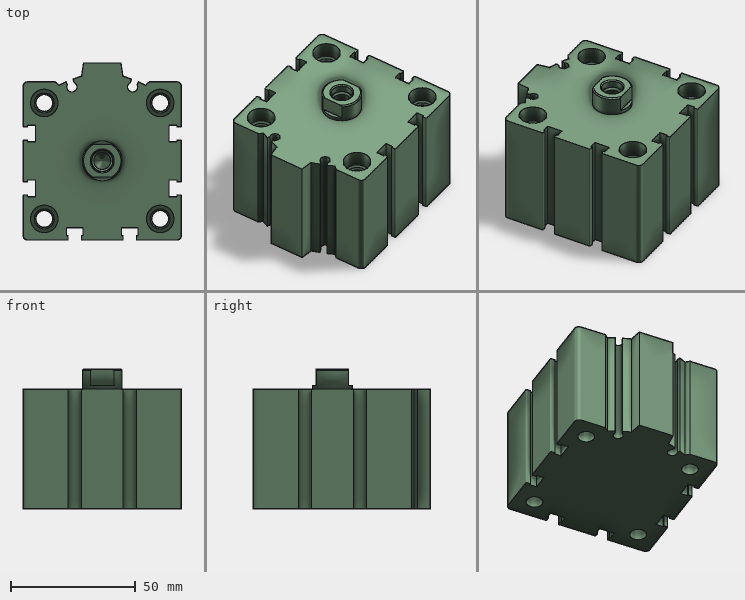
import cadquery as cq
import math

overall_depth = 71.0
body_width = 63.5
overall_height = 56.0
body_height = 48.0
corner_radius = 2.0
half_width = body_width / 2
rail_crest_y = overall_depth - half_width

t_slot_offset = 11.0
t_slot_mouth_width = 5.25
t_slot_inner_width = 6.5
t_slot_lip = 1.85
t_slot_depth = 5.0
t_slot_edge_radius = 0.35

rail_crest_half_width = 7.5
rail_foot = (8.3, 34.0)
shoulder_outer = (11.85, 32.7)
notch_inner = (14.5, half_width)
notch_bottom = (17.3, 30.3)
notch_outer = (18.9, half_width)

sensor_slot_centre = (12.15, 29.6)
sensor_slot_radius = 2.0
sensor_slot_mouth_width = 2.85
sensor_slot_tilt = 20.0
sensor_slot_reach = 2 * sensor_slot_radius

mount_hole_offset = 23.2
mount_hole_diameter = 6.7
mount_chamfer_diameter = 8.0
counterbore_diameter = 11.0
counterbore_depth = 6.8

rod_diameter = 16.0
rod_projection = overall_height - body_height
rod_seat_depth = 16.0
rod_chamfer = 0.5
flat_width = 13.0
flat_base_height = 1.5

mouth_diameter = 9.6
relief_diameter = 8.6
relief_depth = 3.35
entry_cone_diameter = 8.4
thread_diameter = 6.8
thread_hole_depth = 13.0
drill_tip_angle = 118.0


def sensor_rail_outline():
    """Square body with the rail on its +Y side, without slots."""
    right_side = [
        (half_width, half_width),
        notch_outer,
        notch_bottom,
        notch_inner,
        shoulder_outer,
        rail_foot,
        (rail_crest_half_width, rail_crest_y),
    ]
    left_side = [(-x, y) for x, y in reversed(right_side)]
    return [(half_width, -half_width), *right_side, *left_side, (-half_width, -half_width)]


def body_block():
    block = cq.Workplane("XY").polyline(sensor_rail_outline()).close().extrude(body_height)
    for x in (-half_width, half_width):
        for y in (-half_width, half_width):
            corner_edge = cq.selectors.NearestToPointSelector((x, y, body_height / 2))
            block = block.edges(corner_edge).fillet(corner_radius)
    return block


def t_slot():
    """Cutter for one T-slot in the middle of the -Y side, with rounded mouth edges."""
    half_mouth = t_slot_mouth_width / 2
    half_inner = t_slot_inner_width / 2
    flared_mouth = half_mouth + t_slot_edge_radius
    side_y = -half_width
    edge_end_y = side_y + t_slot_edge_radius
    lip_y = side_y + t_slot_lip
    floor_y = side_y + t_slot_depth
    arc_reach = t_slot_edge_radius * (1 - math.sqrt(0.5))
    return (
        cq.Workplane("XY")
        .moveTo(-flared_mouth, side_y)
        .threePointArc((-half_mouth - arc_reach, side_y + arc_reach), (-half_mouth, edge_end_y))
        .lineTo(-half_mouth, lip_y)
        .lineTo(-half_inner, lip_y)
        .lineTo(-half_inner, floor_y)
        .lineTo(half_inner, floor_y)
        .lineTo(half_inner, lip_y)
        .lineTo(half_mouth, lip_y)
        .lineTo(half_mouth, edge_end_y)
        .threePointArc((half_mouth + arc_reach, side_y + arc_reach), (flared_mouth, side_y))
        .close()
        .extrude(body_height)
    )


def sensor_slot():
    """Cutter for the sensor slot on the +X side of the rail."""
    mouth = (
        cq.Workplane("XY")
        .rect(sensor_slot_mouth_width, sensor_slot_reach)
        .extrude(body_height)
        .translate((0, sensor_slot_reach / 2, 0))
    )
    slot = cq.Workplane("XY").circle(sensor_slot_radius).extrude(body_height).union(mouth)
    return slot.rotate((0, 0, 0), (0, 0, 1), -sensor_slot_tilt).translate((*sensor_slot_centre, 0))


def mounting_hole():
    """Cutter for a through hole with a chamfered edge at the bottom of its counterbore."""
    hole_radius = mount_hole_diameter / 2
    chamfer_radius = mount_chamfer_diameter / 2
    counterbore_radius = counterbore_diameter / 2
    floor_z = body_height - counterbore_depth
    profile = [
        (0, 0),
        (hole_radius, 0),
        (hole_radius, floor_z - (chamfer_radius - hole_radius)),
        (chamfer_radius, floor_z),
        (counterbore_radius, floor_z),
        (counterbore_radius, body_height),
        (0, body_height),
    ]
    return cq.Workplane("XZ").polyline(profile).close().revolve(360, (0, 0), (0, 1))


def rod_cylinder(length):
    """Cylinder of the rod's diameter from the bottom of its seat upwards."""
    seat_plane = cq.Workplane("XY").workplane(offset=body_height - rod_seat_depth)
    return seat_plane.circle(rod_diameter / 2).extrude(length)


def make_housing():
    housing = body_block()
    for side_angle in (-90, 0, 90):
        for offset in (-t_slot_offset, t_slot_offset):
            slot = t_slot().translate((offset, 0, 0))
            housing = housing.cut(slot.rotate((0, 0, 0), (0, 0, 1), side_angle))
    housing = housing.cut(sensor_slot()).cut(sensor_slot().mirror("YZ"))
    for x in (-mount_hole_offset, mount_hole_offset):
        for y in (-mount_hole_offset, mount_hole_offset):
            housing = housing.cut(mounting_hole().translate((x, y, 0)))
    return housing.cut(rod_cylinder(rod_seat_depth))


def threaded_hole():
    """Cutter for the rod's blind hole: chamfered mouth, relief, entry cone, bore and tip."""
    mouth_radius = mouth_diameter / 2
    relief_radius = relief_diameter / 2
    cone_radius = entry_cone_diameter / 2
    thread_radius = thread_diameter / 2
    relief_z = overall_height - relief_depth
    bore_end_z = overall_height - thread_hole_depth
    tip_height = thread_radius / math.tan(math.radians(drill_tip_angle / 2))
    profile = [
        (0, overall_height),
        (mouth_radius, overall_height),
        (relief_radius, overall_height - (mouth_radius - relief_radius)),
        (relief_radius, relief_z),
        (cone_radius, relief_z),
        (thread_radius, relief_z - (cone_radius - thread_radius)),
        (thread_radius, bore_end_z),
        (0, bore_end_z - tip_height),
    ]
    return cq.Workplane("XZ").polyline(profile).close().revolve(360, (0, 0), (0, 1))


def wrench_flats():
    """Cutter that leaves two parallel flats, facing -Y and +Y, on the rod end."""
    flats_plane = cq.Workplane("XY").workplane(offset=body_height + flat_base_height)
    around = flats_plane.rect(2 * rod_diameter, 2 * rod_diameter)
    return around.rect(2 * rod_diameter, flat_width).extrude(rod_projection)


def make_rod():
    rod = rod_cylinder(rod_seat_depth + rod_projection)
    rod = rod.faces(">Z").chamfer(rod_chamfer)
    return rod.cut(wrench_flats()).cut(threaded_hole())


housing = make_housing()
rod = make_rod()

result = cq.Compound.makeCompound([housing.val(), rod.val()])